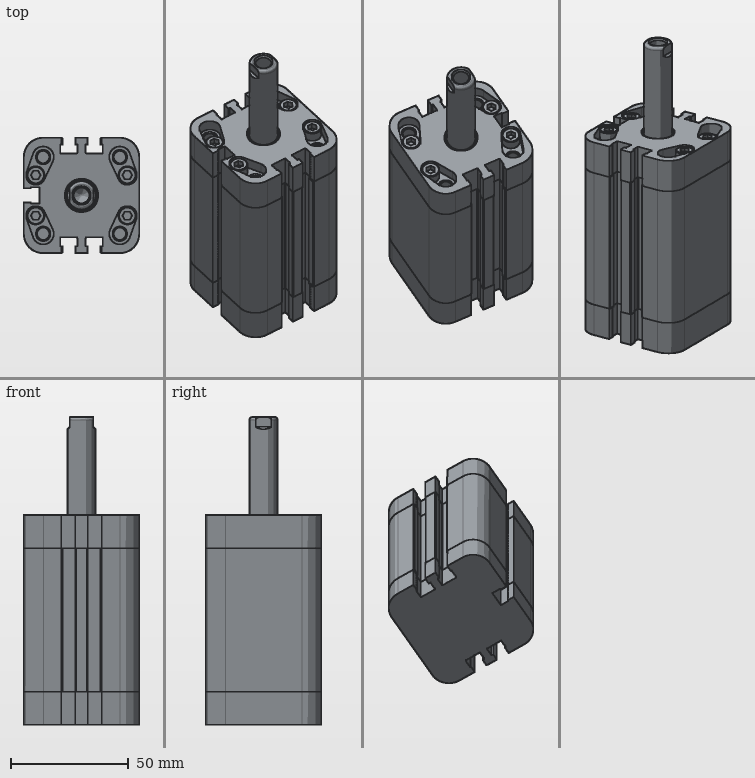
import cadquery as cq
import math

body_width = 49.0
total_height = 130.5
cap_height = 14.1
barrel_height = 60.8
body_height = 2 * cap_height + barrel_height
half_width = body_width / 2

mount_offset = 16.25
corner_radius = half_width - mount_offset

groove_depth = 6.7
lip_depth = 3.0
groove_inner = (1.75, 8.9)
cap_mouth = (2.6, 8.5)
barrel_mouth = (2.6, 8.05)
mouth_chamfer = 0.45
root_chamfer = 0.4

side_groove_half_width = 3.4
side_mouth_half_width = 2.95

pocket_depth = 5.0
pocket_mount_diameter = 9.0
pocket_screw_diameter = 8.2
mount_hole_diameter = 5.2
mount_hole_mouth_diameter = 6.2
mount_hole_depth = 8.0
screw_x = 19.4
screw_y = 8.6
screw_head_diameter = 7.5
screw_head_drop = 0.5
screw_head_chamfer = 0.3
socket_corner_diameter = 4.1
socket_sides = 6
socket_depth = 2.5

rod_diameter = 12.0
rod_end_fillet = 1.25
flat_half_width = 5.0
flat_length = 4.2
rod_bore_diameter = 6.65
rod_bore_mouth_diameter = 8.0
rod_bore_depth = 12.0
drill_point_angle = 118.0
wiper_mouth_diameter = 14.2
wiper_diameter = 13.7
wiper_lip_diameter = 12.54
wiper_depth = 0.6


def span_box(x_range, y_range, z_range):
    """Box given by its lower and upper bounds on each axis."""
    sizes = [upper - lower for lower, upper in (x_range, y_range, z_range)]
    return cq.Workplane("XY").box(*sizes, centered=False).translate((x_range[0], y_range[0], z_range[0]))


def cone(x, y, z, lower_diameter, upper_diameter, height):
    """Truncated or pointed vertical cone standing on height z."""
    solid = cq.Solid.makeCone(lower_diameter / 2, upper_diameter / 2, height, cq.Vector(x, y, z))
    return cq.Workplane("XY").add(solid)


def cap_groove(z):
    """Cutter for the +X groove of the +Y face in a cap."""
    floor_y = half_width - groove_depth
    z_range = (z, z + cap_height)
    inner = span_box(groove_inner, (floor_y, half_width - lip_depth), z_range)
    return inner.union(span_box(cap_mouth, (floor_y, half_width), z_range))


def barrel_groove(z):
    """Cutter for the +X groove of the +Y face in the barrel, bevelled at the mouth and one root corner."""
    floor_y = half_width - groove_depth
    lip_y = half_width - lip_depth
    bevel_y = half_width - mouth_chamfer
    inner_near, inner_far = groove_inner
    mouth_near, mouth_far = barrel_mouth
    outline = [
        (inner_near + root_chamfer, floor_y),
        (inner_far, floor_y),
        (inner_far, lip_y),
        (mouth_far, lip_y),
        (mouth_far, bevel_y),
        (mouth_far + mouth_chamfer, half_width),
        (mouth_near - mouth_chamfer, half_width),
        (mouth_near, bevel_y),
        (mouth_near, lip_y),
        (inner_near, lip_y),
        (inner_near, floor_y + root_chamfer),
    ]
    return cq.Workplane("XY").workplane(offset=z).polyline(outline).close().extrude(barrel_height)


def grooved_section(z, height, groove):
    """Rounded square block with four mirrored grooves and the single groove in its -X face."""
    block = cq.Workplane("XY").workplane(offset=z).rect(body_width, body_width).extrude(height)
    block = block.edges("|Z").fillet(corner_radius)
    for cutter in (groove, groove.mirror("YZ")):
        block = block.cut(cutter).cut(cutter.mirror("XZ"))

    z_range = (z, z + height)
    floor_x = groove_depth - half_width
    lip_x = lip_depth - half_width
    side_inner = (-side_groove_half_width, side_groove_half_width)
    side_mouth = (-side_mouth_half_width, side_mouth_half_width)
    side_groove = span_box((lip_x, floor_x), side_inner, z_range)
    side_groove = side_groove.union(span_box((-half_width, floor_x), side_mouth, z_range))
    return block.cut(side_groove)


def make_bottom_cap():
    return grooved_section(0, cap_height, cap_groove(0))


def make_barrel():
    return grooved_section(cap_height, barrel_height, barrel_groove(cap_height))


def mounting_pocket():
    """Tapered slot round a mounting hole and its screw, in the +X +Y corner."""
    floor_z = body_height - pocket_depth
    mount_radius = pocket_mount_diameter / 2
    screw_radius = pocket_screw_diameter / 2
    span = math.hypot(screw_x - mount_offset, screw_y - mount_offset)
    heading = math.atan2(screw_y - mount_offset, screw_x - mount_offset)
    swing = math.acos((mount_radius - screw_radius) / span)

    def rim(x, y, radius, angle):
        return (x + radius * math.cos(angle), y + radius * math.sin(angle))

    slot = (
        cq.Workplane("XY").workplane(offset=floor_z)
        .moveTo(*rim(mount_offset, mount_offset, mount_radius, heading + swing))
        .threePointArc(
            rim(mount_offset, mount_offset, mount_radius, heading + math.pi),
            rim(mount_offset, mount_offset, mount_radius, heading - swing),
        )
        .lineTo(*rim(screw_x, screw_y, screw_radius, heading - swing))
        .threePointArc(
            rim(screw_x, screw_y, screw_radius, heading),
            rim(screw_x, screw_y, screw_radius, heading + swing),
        )
        .close().extrude(pocket_depth)
    )
    hole = (
        cq.Workplane("XY").workplane(offset=floor_z).center(mount_offset, mount_offset)
        .circle(mount_hole_diameter / 2).extrude(-mount_hole_depth)
    )
    mouth_height = (mount_hole_mouth_diameter - mount_hole_diameter) / 2
    mouth = cone(
        mount_offset, mount_offset, floor_z - mouth_height,
        mount_hole_diameter, mount_hole_mouth_diameter, mouth_height,
    )
    return slot.union(hole).union(mouth)


def screw_head():
    """Hex socket screw head on the pocket floor, in the +X +Y corner."""
    head = (
        cq.Workplane("XY").workplane(offset=body_height - pocket_depth).center(screw_x, screw_y)
        .circle(screw_head_diameter / 2).extrude(pocket_depth - screw_head_drop)
        .faces(">Z").chamfer(screw_head_chamfer)
    )
    socket = (
        cq.Workplane("XY").workplane(offset=body_height - screw_head_drop).center(screw_x, screw_y)
        .polygon(socket_sides, socket_corner_diameter).extrude(-socket_depth)
    )
    return head.cut(socket)


def make_top_cap():
    base_z = body_height - cap_height
    cap = grooved_section(base_z, cap_height, cap_groove(base_z))
    pocket = mounting_pocket()
    head = screw_head()
    for flip_x in (False, True):
        for flip_y in (False, True):
            cutter, boss = pocket, head
            if flip_x:
                cutter, boss = cutter.mirror("YZ"), boss.mirror("YZ")
            if flip_y:
                cutter, boss = cutter.mirror("XZ"), boss.mirror("XZ")
            cap = cap.cut(cutter).union(boss)

    rod_hole = cq.Workplane("XY").workplane(offset=base_z).circle(rod_diameter / 2).extrude(cap_height)
    wiper_recess = (
        cq.Workplane("XY").workplane(offset=body_height)
        .circle(wiper_diameter / 2).extrude(-wiper_depth)
    )
    mouth_height = (wiper_mouth_diameter - wiper_diameter) / 2
    mouth = cone(0, 0, body_height - mouth_height, wiper_diameter, wiper_mouth_diameter, mouth_height)
    lip_height = (wiper_lip_diameter - rod_diameter) / 2
    lip = cone(0, 0, body_height - wiper_depth - lip_height, rod_diameter, wiper_lip_diameter, lip_height)
    return cap.cut(rod_hole).cut(wiper_recess).cut(mouth).cut(lip)


def make_rod():
    rod_base = body_height - cap_height
    rod_radius = rod_diameter / 2
    rod = (
        cq.Workplane("XY").workplane(offset=rod_base)
        .circle(rod_radius).extrude(total_height - rod_base)
        .faces(">Z").edges().fillet(rod_end_fillet)
    )

    runout = rod_radius - flat_half_width
    flat_base = total_height - flat_length
    flat = (
        cq.Workplane("XZ")
        .moveTo(flat_half_width, total_height)
        .lineTo(flat_half_width, flat_base)
        .lineTo(rod_radius, flat_base - runout)
        .lineTo(rod_radius, total_height)
        .close().extrude(rod_radius, both=True)
    )
    rod = rod.cut(flat).cut(flat.mirror("YZ"))

    bore_base = total_height - rod_bore_depth
    point_height = rod_bore_diameter / 2 / math.tan(math.radians(drill_point_angle / 2))
    bore = (
        cq.Workplane("XY").workplane(offset=bore_base)
        .circle(rod_bore_diameter / 2).extrude(rod_bore_depth)
    )
    point = cone(0, 0, bore_base - point_height, 0, rod_bore_diameter, point_height)
    mouth_height = (rod_bore_mouth_diameter - rod_bore_diameter) / 2
    mouth = cone(0, 0, total_height - mouth_height, rod_bore_diameter, rod_bore_mouth_diameter, mouth_height)
    return rod.cut(bore).cut(point).cut(mouth)


bottom_cap = make_bottom_cap()
barrel = make_barrel()
top_cap = make_top_cap()
piston_rod = make_rod()

result = cq.Compound.makeCompound([bottom_cap.val(), barrel.val(), top_cap.val(), piston_rod.val()])